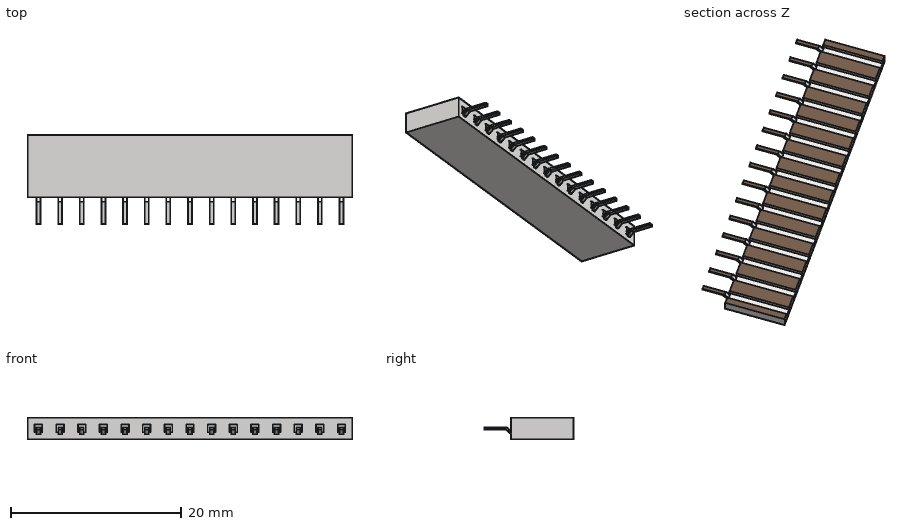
import cadquery as cq
import math

length = 38.1
height = 2.55
overall_depth = 10.48
pin_reach = 3.12
depth = overall_depth - pin_reach

pin_count = 15
pitch = length / pin_count
cavity_size = 0.88

pin_width = 0.5
pin_thickness = 0.25
ramp_angle = math.radians(42)
ramp_reach = 0.5
ramp_embed = 0.23

front_face = -depth / 2
pin_tip = front_face - pin_reach
pin_positions = [(i - (pin_count - 1) / 2) * pitch for i in range(pin_count)]


def make_block():
    """Rectangular block with a square cavity through it for every pin."""
    cavity_centres = [(x, 0) for x in pin_positions]
    return (
        cq.Workplane("XZ", origin=(0, depth / 2, 0))
        .rect(length, height)
        .pushPoints(cavity_centres)
        .rect(cavity_size, cavity_size)
        .extrude(depth)
    )


def make_pin(x):
    """Bent flat pin whose ramp ends just inside the housing floor."""
    ramp_slope = math.tan(ramp_angle)
    ramp_start = front_face - ramp_reach
    ramp_end = front_face + ramp_embed
    top = pin_thickness / 2
    bottom = -pin_thickness / 2
    ramp_end_top = top - ramp_slope * (ramp_end - ramp_start)
    ramp_end_bottom = ramp_end_top - pin_thickness / math.cos(ramp_angle)
    lower_bend = ramp_start - pin_thickness * math.tan(ramp_angle / 2)
    profile = [
        (pin_tip, top),
        (ramp_start, top),
        (ramp_end, ramp_end_top),
        (ramp_end, ramp_end_bottom),
        (lower_bend, bottom),
        (pin_tip, bottom),
    ]
    return (
        cq.Workplane("YZ", origin=(x, 0, 0))
        .polyline(profile)
        .close()
        .extrude(pin_width / 2, both=True)
    )


housing = make_block()
for pin_x in pin_positions:
    housing = housing.union(make_pin(pin_x))

result = cq.Compound.makeCompound([housing.val()])